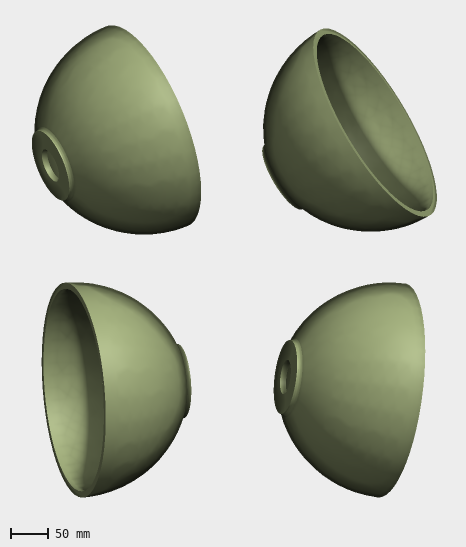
import cadquery as cq
import math

rim_radius = 145.0
height = 150.0
bowl_arc_radius = 157.8
wall = 8.5

foot_radius = 50.2
foot_edge_height = 1.7
neck_height = 6.7
neck_bulge = 0.5
drain_radius = 23.2

rim_y = height / 2
foot_y = -height / 2
arc_center_radius = rim_radius - bowl_arc_radius


def arc_point(arc_radius, depth):
    """Return the (radius, y) point of a bowl arc at a depth below the rim."""
    radius = arc_center_radius + math.sqrt(arc_radius**2 - depth**2)
    return radius, rim_y - depth


def revolve_about_y(profile):
    return profile.close().revolve(360, (0, 0, 0), (0, 1, 0))


def make_outer_body():
    """Bowl with a concave neck leading into a short cylindrical foot."""
    neck_depth = height - neck_height
    neck_top = arc_point(bowl_arc_radius, neck_depth)
    neck_bottom = (foot_radius, foot_y + foot_edge_height)
    neck_middle = (
        (neck_top[0] + neck_bottom[0]) / 2 - neck_bulge,
        (neck_top[1] + neck_bottom[1]) / 2,
    )
    profile = (
        cq.Workplane("XY")
        .moveTo(0, rim_y)
        .lineTo(rim_radius, rim_y)
        .threePointArc(arc_point(bowl_arc_radius, neck_depth / 2), neck_top)
        .threePointArc(neck_middle, neck_bottom)
        .lineTo(foot_radius, foot_y)
        .lineTo(0, foot_y)
    )
    return revolve_about_y(profile)


def make_cavity():
    """Inside of the bowl: an arc parallel to the outside, with a flat floor."""
    inner_arc_radius = bowl_arc_radius - wall
    floor_depth = height - wall
    profile = (
        cq.Workplane("XY")
        .moveTo(0, rim_y)
        .lineTo(rim_radius - wall, rim_y)
        .threePointArc(
            arc_point(inner_arc_radius, floor_depth / 2),
            arc_point(inner_arc_radius, floor_depth),
        )
        .lineTo(0, rim_y - floor_depth)
    )
    return revolve_about_y(profile)


def make_drain():
    return (
        cq.Workplane("XZ", origin=(0, rim_y, 0))
        .circle(drain_radius)
        .extrude(height)
    )


result = make_outer_body().cut(make_cavity()).cut(make_drain())